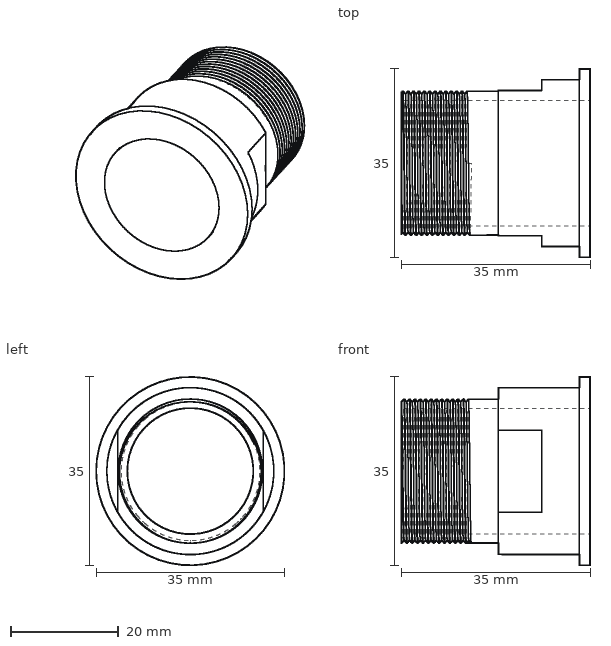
import cadquery as cq

total_length = 35.0
flange_thickness = 2.0
spigot_length = 18.0
flat_length = 8.0

flange_diameter = 35.0
body_diameter = 31.0
spigot_diameter = 26.78
bore_diameter = 23.35
across_flats = 27.02

thread_depth = 0.52
thread_turns = 13
helix_length = 13.0
thread_pitch = helix_length / thread_turns
groove_width = 0.98 * thread_pitch
cutter_overshoot = 0.05


def cylinder(diameter, start, end):
    """Solid cylinder on the X axis between two X positions."""
    return cq.Workplane("YZ", origin=(start, 0, 0)).circle(diameter / 2).extrude(end - start)


def stepped_blank():
    """Spigot, larger body and end flange, before any cuts."""
    spigot = cylinder(spigot_diameter, 0, spigot_length)
    body = cylinder(body_diameter, spigot_length, total_length)
    flange = cylinder(flange_diameter, total_length - flange_thickness, total_length)
    return spigot.union(body).union(flange)


def flat_cutter(side):
    """Block that removes the body outside one wrench flat, on the given Y side."""
    block_depth = flange_diameter / 2
    center_y = side * (across_flats + block_depth) / 2
    return cq.Workplane("XY").box(
        flat_length, block_depth, flange_diameter
    ).translate((spigot_length + flat_length / 2, center_y, 0))


def thread_cutter():
    """V-shaped helical groove that starts and ends on the -Z side of the spigot."""
    crest_radius = spigot_diameter / 2
    outer_radius = crest_radius + cutter_overshoot
    half_width = groove_width / 2
    path = cq.Wire.makeHelix(thread_pitch, helix_length, crest_radius)
    profile = [
        (crest_radius - thread_depth, 0),
        (outer_radius, half_width),
        (outer_radius, -half_width),
    ]
    groove = cq.Workplane("XZ").polyline(profile).close().sweep(cq.Workplane(path), isFrenet=True)
    laid_groove = groove.rotate((0, 0, 0), (0, 1, 0), 90)
    return laid_groove.translate((-thread_pitch / 2, 0, 0))


result = stepped_blank()
for flat_side in (-1, 1):
    result = result.cut(flat_cutter(flat_side))
result = result.cut(cylinder(bore_diameter, 0, total_length))
result = result.cut(thread_cutter())